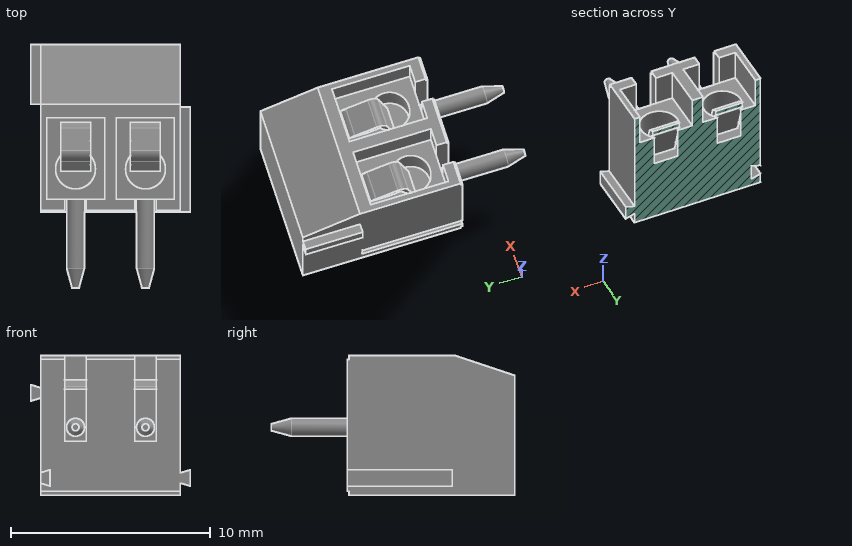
import math

import cadquery as cq

overall_width = 7.98
overall_length = 12.19
height = 7.0
housing_width = 7.0
housing_length = 8.39
key_depth = (overall_width - housing_width) / 2

slope_length = 3.0
slope_drop = 1.0
lip_depth = 0.09
lip_inset = 0.2

key_root = 0.52
key_edge = 0.83
upper_key_z = 5.12
upper_key_length = slope_length
lower_key_z = 0.87
lower_key_length = 5.27
groove_end_step = 0.16
groove_end_depth = 0.46

pole_pitch = 3.5
pole_centers = (-pole_pitch / 2, pole_pitch / 2)
front_wall = 0.65
chamber_width = 2.9
chamber_back = 4.73
chamber_floor = 5.3
slot_width = 1.08
slot_bottom = 2.71

pin_diameter = 0.9
pin_tip_diameter = 0.35
pin_tip_length = 1.0
pin_z = 3.4
pin_front = housing_length - overall_length

spring_width = 1.5
spring_thickness = 0.3
spring_tilt = math.radians(15)
rear_bend_radius = 0.74
rear_bend_start_tilt = math.radians(55)
rear_bend_end_y = 4.23
front_bend_radius = 0.44
front_bend_start_y = 3.08
spring_top = 5.77
spring_end_y = 2.05

well_diameter = 2.0
well_y = 2.16


def make_box(x_range, y_range, z_range):
    """Box spanning the given (low, high) pairs."""
    spans = (x_range, y_range, z_range)
    sizes = [high - low for low, high in spans]
    corner = [low for low, high in spans]
    return cq.Workplane("XY").box(*sizes, centered=False).translate(tuple(corner))


def make_housing():
    outline = [
        (0, lip_inset),
        (lip_depth, lip_inset),
        (lip_depth, 0),
        (housing_length, 0),
        (housing_length, height - slope_drop),
        (housing_length - slope_length, height),
        (lip_depth, height),
        (lip_depth, height - lip_inset),
        (0, height - lip_inset),
    ]
    return cq.Workplane("YZ").polyline(outline).close().extrude(housing_width / 2, both=True)


def make_dovetail(wall_x, outward, depth, z, y_start, y_end):
    """Dovetail bar that widens from key_root at wall_x to key_edge at the full key depth."""
    widening = (key_edge - key_root) * depth / key_depth
    half_root = key_root / 2
    half_edge = (key_root + widening) / 2
    outer_x = wall_x + outward * depth
    section = [
        (wall_x, z - half_root),
        (outer_x, z - half_edge),
        (outer_x, z + half_edge),
        (wall_x, z + half_root),
    ]
    return cq.Workplane("XZ", origin=(0, y_start, 0)).polyline(section).close().extrude(y_start - y_end)


def make_chamber(x):
    """Open-topped chamber together with its slot through the front wall."""
    half_chamber = chamber_width / 2
    half_slot = slot_width / 2
    chamber_x = (x - half_chamber, x + half_chamber)
    chamber = make_box(chamber_x, (front_wall, chamber_back), (chamber_floor, height))
    slot_x = (x - half_slot, x + half_slot)
    slot = make_box(slot_x, (0, front_wall), (slot_bottom, height))
    return chamber.union(slot)


def make_pin(x):
    radius = pin_diameter / 2
    half_outline = [
        (0, pin_front),
        (pin_tip_diameter / 2, pin_front),
        (radius, pin_front + pin_tip_length),
        (radius, front_wall),
        (0, front_wall),
    ]
    pin = cq.Workplane("XY").polyline(half_outline).close().revolve(360, (0, 0), (0, 1))
    return pin.translate((x, 0, pin_z))


def point_on_bend(center, radius, tilt):
    """Point (y, z) where the surface normal leans by tilt from +Z toward +Y."""
    return (center[0] + radius * math.sin(tilt), center[1] + radius * math.cos(tilt))


leg_tilt = spring_tilt - math.pi / 2
front_bend_center = (
    front_bend_start_y - front_bend_radius * math.sin(spring_tilt),
    spring_top - front_bend_radius,
)
plate_front = point_on_bend(front_bend_center, front_bend_radius, spring_tilt)
leg_top = point_on_bend(front_bend_center, front_bend_radius, leg_tilt)
leg_bottom_z = leg_top[1] - (leg_top[0] - spring_end_y) / math.tan(spring_tilt)
plate_rear_z = plate_front[1] - (rear_bend_end_y - front_bend_start_y) * math.tan(spring_tilt)
rear_bend_center = (
    rear_bend_end_y - rear_bend_radius * math.sin(spring_tilt),
    plate_rear_z - rear_bend_radius * math.cos(spring_tilt),
)


def make_spring(x):
    rear_mid_tilt = (rear_bend_start_tilt + spring_tilt) / 2
    front_mid_tilt = (spring_tilt + leg_tilt) / 2

    def rear(tilt, inset=0):
        return point_on_bend(rear_bend_center, rear_bend_radius - inset, tilt)

    def front(tilt, inset=0):
        return point_on_bend(front_bend_center, front_bend_radius - inset, tilt)

    inner = spring_thickness
    leg_inner_y = spring_end_y + spring_thickness / math.cos(spring_tilt)
    profile = (
        cq.Workplane("YZ", origin=(x, 0, 0))
        .moveTo(*rear(rear_bend_start_tilt))
        .threePointArc(rear(rear_mid_tilt), rear(spring_tilt))
        .lineTo(*front(spring_tilt))
        .threePointArc(front(front_mid_tilt), front(leg_tilt))
        .lineTo(spring_end_y, leg_bottom_z)
        .lineTo(leg_inner_y, leg_bottom_z)
        .lineTo(*front(leg_tilt, inner))
        .threePointArc(front(front_mid_tilt, inner), front(spring_tilt, inner))
        .lineTo(*rear(spring_tilt, inner))
        .threePointArc(rear(rear_mid_tilt, inner), rear(rear_bend_start_tilt, inner))
        .close()
    )
    return profile.extrude(spring_width / 2, both=True)


def make_well(x):
    """Blind round well, as deep as the front leg of the spring reaches."""
    well = cq.Workplane("XY", origin=(x, well_y, leg_bottom_z)).circle(well_diameter / 2)
    return well.extrude(chamber_floor - leg_bottom_z)


left_wall = -housing_width / 2
right_wall = housing_width / 2
groove_main_length = lower_key_length - groove_end_step

result = make_housing()

upper_key_start = housing_length - upper_key_length
result = result.union(make_dovetail(left_wall, -1, key_depth, upper_key_z, upper_key_start, housing_length))
result = result.union(make_dovetail(right_wall, 1, key_depth, lower_key_z, 0, lower_key_length))
result = result.cut(make_dovetail(left_wall, 1, key_depth, lower_key_z, 0, groove_main_length))
result = result.cut(make_dovetail(left_wall, 1, groove_end_depth, lower_key_z, 0, lower_key_length))

for pole_x in pole_centers:
    result = result.cut(make_chamber(pole_x))
    result = result.cut(make_well(pole_x))
    result = result.union(make_spring(pole_x))
    result = result.union(make_pin(pole_x))